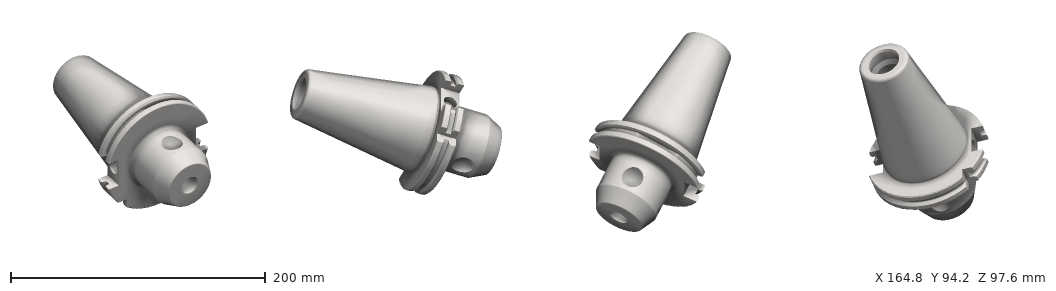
import cadquery as cq
import math

overall_length = 164.8

gauge_x = 101.8
gauge_radius = 35.0
taper_slope = 7 / 48
shank_end_fillet = 3.0

relief_start = 103.3
relief_depth = 0.7

flange_start = 105.0
flange_width = 15.8
flange_radius = 48.8
flange_edge_fillet = 1.0
groove_center = 112.9
groove_floor_width = 4.5
groove_floor_radius = 44.8
groove_flare_width = 1.0
groove_flare_depth = 1.6

floor_flat_width = 36.2
floor_flat_tilt = 12.0

nose_radius = 26.0
nose_root_fillet = 3.0
nose_cone_start = 151.5
nose_end_radius = 20.0
nose_edge_fillet = 1.0

slot_width = 25.5
front_slot_floor = 37.5
back_slot_floor = 35.3
notch_y = 30.0
notch_z = 30.0
blind_hole_radius = 5.6
blind_hole_depth = 6.5

dimple_x = 139.5
dimple_sphere_radius = 9.0
dimple_sphere_z = 28.3

through_radius = 7.7
pilot_radius = 12.4
pilot_depth = 9.4
undercut_radius = 13.5
undercut_end = 11.4
mouth_radius = 13.3
mouth_chamfer_angle = 30.0
thread_radius = 10.4
thread_end = 47.0
thread_tip_angle = 60.0

flange_end = flange_start + flange_width


def revolve_about_x(sketch):
    return sketch.close().revolve(360, (0, 0, 0), (1, 0, 0))


def ring_edges(x, radius):
    """Selector for the circular edge of this radius at this x."""
    tol = 0.08
    return cq.selectors.BoxSelector(
        (x - tol, -radius - tol, -radius - tol), (x + tol, radius + tol, radius + tol), boundingbox=True
    )


def make_shank():
    small_radius = gauge_radius - gauge_x * taper_slope
    relief_middle = (relief_start + flange_start) / 2
    profile = (
        cq.Workplane("XY")
        .lineTo(0, small_radius)
        .lineTo(gauge_x, gauge_radius)
        .lineTo(relief_start, gauge_radius)
        .threePointArc((relief_middle, gauge_radius - relief_depth), (flange_start, gauge_radius))
        .lineTo(flange_start, 0)
    )
    return revolve_about_x(profile).faces("<X").edges().fillet(shank_end_fillet)


def make_flange():
    disc = cq.Workplane("YZ", origin=(flange_start, 0, 0)).circle(flange_radius).extrude(flange_width)
    disc = disc.edges().fillet(flange_edge_fillet)
    half_floor = groove_floor_width / 2
    half_mouth = half_floor + groove_flare_width
    flare_radius = flange_radius - groove_flare_depth
    groove_profile = cq.Workplane("XY").polyline([
        (groove_center - half_floor, groove_floor_radius),
        (groove_center - half_floor, flare_radius),
        (groove_center - half_mouth, flange_radius),
        (groove_center + half_mouth, flange_radius),
        (groove_center + half_floor, flare_radius),
        (groove_center + half_floor, groove_floor_radius),
    ])
    return disc.cut(revolve_about_x(groove_profile))


def make_floor_flat():
    """Cutter for the flat on the groove floor, turned about X from straight up toward +Y."""
    flat_height = math.sqrt(groove_floor_radius**2 - (floor_flat_width / 2) ** 2)
    cutter = cq.Workplane("XY", origin=(groove_center, 0, flat_height)).box(
        groove_floor_width, floor_flat_width, groove_floor_radius - flat_height, centered=(True, True, False)
    )
    return cutter.rotate((0, 0, 0), (1, 0, 0), -floor_flat_tilt)


def make_nose():
    root_radius = nose_radius + nose_root_fillet
    arc_offset = nose_root_fillet * (1 - math.sqrt(0.5))
    profile = (
        cq.Workplane("XY")
        .moveTo(flange_end, 0)
        .lineTo(flange_end, root_radius)
        .threePointArc(
            (flange_end + arc_offset, nose_radius + arc_offset), (flange_end + nose_root_fillet, nose_radius)
        )
        .lineTo(nose_cone_start, nose_radius)
        .lineTo(overall_length, nose_end_radius)
        .lineTo(overall_length, 0)
    )
    nose = revolve_about_x(profile)
    for x, radius in [(nose_cone_start, nose_radius), (overall_length, nose_end_radius)]:
        nose = nose.edges(ring_edges(x, radius)).fillet(nose_edge_fillet)
    return nose


def cut_drive_slots(body):
    for side, floor in [(-1, front_slot_floor), (1, back_slot_floor)]:
        slot = cq.Workplane("XY").box(flange_width, flange_radius, slot_width)
        slot_center_y = side * (floor + flange_radius / 2)
        body = body.cut(slot.translate((flange_start + flange_width / 2, slot_center_y, 0)))
    return body


def make_notch():
    return cq.Workplane("XY").box(flange_width, flange_radius, flange_radius, centered=False).translate(
        (flange_start, -notch_y - flange_radius, -notch_z - flange_radius)
    )


def make_blind_hole():
    mouth = cq.Workplane("XZ", origin=(groove_center, -front_slot_floor, 0))
    return mouth.circle(blind_hole_radius).extrude(-blind_hole_depth)


def cut_dimples(body):
    for z in (dimple_sphere_z, -dimple_sphere_z):
        body = body.cut(cq.Workplane("XY").sphere(dimple_sphere_radius).translate((dimple_x, 0, z)))
    return body


def make_bore():
    mouth_depth = (mouth_radius - pilot_radius) / math.tan(math.radians(mouth_chamfer_angle))
    thread_start = undercut_end + undercut_radius - thread_radius
    tip_length = (thread_radius - through_radius) / math.tan(math.radians(thread_tip_angle))
    profile = cq.Workplane("XY").polyline([
        (0, 0),
        (0, mouth_radius),
        (mouth_depth, pilot_radius),
        (pilot_depth, pilot_radius),
        (pilot_depth, undercut_radius),
        (undercut_end, undercut_radius),
        (thread_start, thread_radius),
        (thread_end, thread_radius),
        (thread_end + tip_length, through_radius),
        (overall_length, through_radius),
        (overall_length, 0),
    ])
    return revolve_about_x(profile)


flange = cut_drive_slots(make_flange().cut(make_floor_flat())).cut(make_notch())
holder = make_shank().union(flange).union(make_nose())
holder = cut_dimples(holder)
result = holder.cut(make_blind_hole()).cut(make_bore())